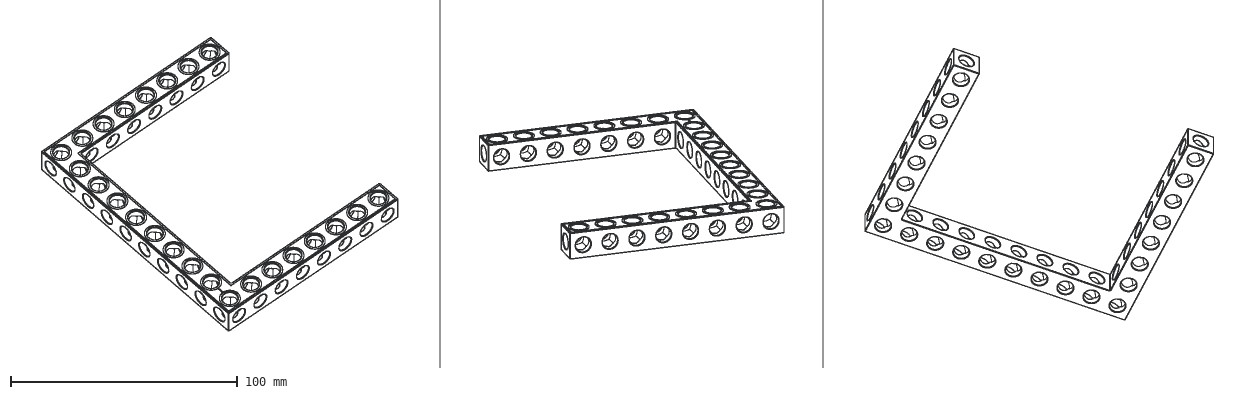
import cadquery as cq

pitch = 12.5
base_holes = 10
arm_holes = 8
length = base_holes * pitch
depth = arm_holes * pitch

hole_diameter = 7.0
edge_chamfer = 0.3

rim_width = 1.0
collar_diameter = 9.2
recess_depth = 0.2
bridge_width = 0.4


def u_prism(inset, height):
    """U-shaped prism, open towards +Y, with its side walls moved inwards by inset."""
    block = cq.Workplane("XY").box(length - 2 * inset, depth - 2 * inset, height)
    opening = (
        cq.Workplane("XY")
        .box(length - 2 * pitch + 2 * inset, depth - pitch, height)
        .translate((0, pitch / 2 - inset, 0))
    )
    return block.cut(opening)


def hole_row(count):
    """Centred coordinates of a row of holes."""
    return [(i - (count - 1) / 2) * pitch for i in range(count)]


def drill(direction, span, center):
    """Cutter for a through hole along a direction, chamfered at both ends of its span."""
    radius = hole_diameter / 2
    mouth = radius + edge_chamfer
    end = span / 2
    neck = end - edge_chamfer
    profile = [(0, -end), (mouth, -end), (radius, -neck), (radius, neck), (mouth, end), (0, end)]
    cutter = cq.Workplane("XZ").polyline(profile).close().revolve(360, (0, 0), (0, 1)).val()
    return cutter.moved(cq.Plane(origin=center, normal=direction).location)


along_x = (1, 0, 0)
along_y = (0, 1, 0)
along_z = (0, 0, 1)

columns = hole_row(base_holes)
rows = hole_row(arm_holes)
base_row = rows[0]
arm_columns = (columns[0], columns[-1])

base_points = [(x, base_row, 0) for x in columns]
arm_points = [(x, y, 0) for x in arm_columns for y in rows[1:]]
hole_points = base_points + arm_points

body = u_prism(0, pitch).edges().chamfer(edge_chamfer)

collars = (
    cq.Workplane("XY")
    .pushPoints([(x, y) for x, y, _ in hole_points])
    .circle(collar_diameter / 2)
    .extrude(recess_depth, both=True)
)
bridge = (
    cq.Workplane("XY")
    .box(pitch, bridge_width, recess_depth)
    .translate(((columns[-2] + columns[-1]) / 2, base_row, 0))
)
panel = u_prism(rim_width, recess_depth).cut(collars).cut(bridge)
body = body.cut(panel.translate((0, 0, (pitch - recess_depth) / 2)))

drills = [drill(along_z, pitch, point) for point in hole_points]
drills += [drill(along_y, pitch, point) for point in base_points[1:-1]]
drills += [drill(along_x, pitch, point) for point in arm_points]
drills += [drill(along_y, depth, (x, 0, 0)) for x in arm_columns]
drills.append(drill(along_x, length, (0, base_row, 0)))

result = body.newObject([body.val().cut(*drills)]).solids()